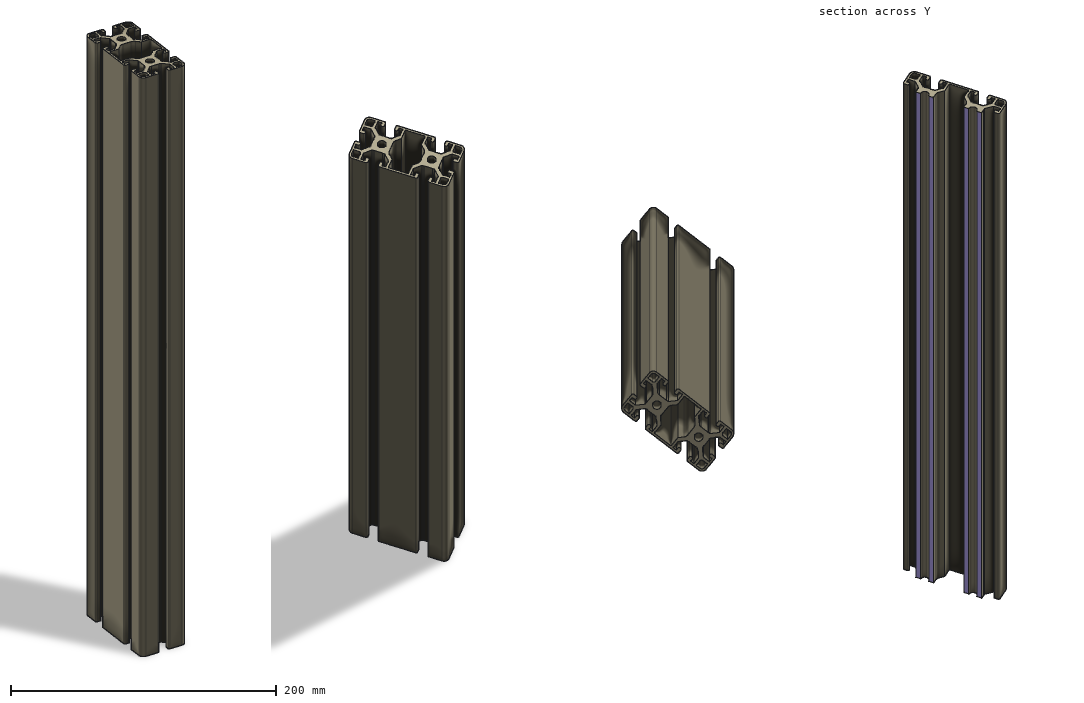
import cadquery as cq

length = 500
width = 80
depth = 40
module = depth
corner_radius = 4.0
skin = 1.75

slot_half_opening = 4.15
slot_half_width = 10.0
slot_depth = 12.5
slot_slope = 5.0
lip_depth = 4.75
lip_thickness = 2.75
lip_edge_radius = 1.25
lip_tip_radius = 1.0
groove_half_width = 3.5
groove_depth = 0.1

chamber_half_width = 8.0
chamber_bend_height = 10.0
chamber_core_radius = 4.5
chamber_corner_radius = 0.5

cavity_wall = 2.25
cavity_outer_radius = 2.5
cavity_inner_radius = 1.5

bore_diameter = 6.5
core_half_width = module / 2 - slot_depth
core_centres = (-module / 2, module / 2)

signs = (-1, 1)


def prism(points):
    """Extrude a closed outline over the full length of the part."""
    return cq.Workplane("XY").polyline(points).close().extrude(length)


def round_edges(body, points, radius):
    """Fillet the long edges that stand on the given points."""
    reach = 0.05
    for x, y in points:
        low = (x - reach, y - reach, -5)
        high = (x + reach, y + reach, length + 5)
        body = body.edges(cq.selectors.BoxSelector(low, high)).fillet(radius)
    return body


def mirrored(point):
    """The four copies of a point about both mid-planes."""
    x, y = point
    return [(side_x * x, side_y * y) for side_x in signs for side_y in signs]


def t_slot():
    """One slot, cut inward from the outer face at y = 0 and opening toward +Y."""
    lip_back = slot_half_opening + lip_thickness
    lip_tips = [(slot_half_opening, -lip_depth), (lip_back, -lip_depth)]
    right_side = [
        (slot_half_opening, 0),
        *lip_tips,
        (lip_back, -skin),
        (slot_half_width, -skin),
        (slot_half_width, slot_slope - slot_depth),
        (slot_half_width - slot_slope, -slot_depth),
        (groove_half_width, -slot_depth),
        (groove_half_width - groove_depth, -slot_depth - groove_depth),
    ]
    left_side = [(-x, y) for x, y in reversed(right_side)]
    tips_on_both_sides = [(side * x, y) for x, y in lip_tips for side in signs]
    return round_edges(prism(right_side + left_side), tips_on_both_sides, lip_tip_radius)


def central_chamber():
    """The hollow between the two cores, with diagonal sides that form the inner webs."""
    core_side = module / 2 - core_half_width
    at_core = (core_side, chamber_bend_height - (core_side - chamber_half_width))
    at_bend = (chamber_half_width, chamber_bend_height)
    at_corner = (chamber_half_width, depth / 2 - skin)

    right_upper = [at_core, at_bend, at_corner]
    upper = right_upper + [(-x, y) for x, y in reversed(right_upper)]
    lower = [(-x, -y) for x, y in upper]
    chamber = prism(upper + lower)
    chamber = round_edges(chamber, mirrored(at_core), chamber_core_radius)
    return round_edges(chamber, mirrored(at_corner), chamber_corner_radius)


def corner_cavity():
    """The square hollow in the +X +Y corner of the profile."""
    inner = slot_half_width + cavity_wall
    outer = module / 2 - skin
    cavity = prism([(inner, inner), (outer, inner), (outer, outer), (inner, outer)])
    cavity = round_edges(cavity, [(outer, outer)], cavity_outer_radius)
    cavity = round_edges(cavity, [(inner, inner)], cavity_inner_radius)
    return cavity.translate((core_centres[1], 0, 0))


body = cq.Workplane("XY").rect(width, depth).extrude(length).edges("|Z").fillet(corner_radius)

slot = t_slot()
slot_places = [(0, x, depth / 2) for x in core_centres]
slot_places += [(180, x, -depth / 2) for x in core_centres]
slot_places += [(-90, width / 2, 0), (90, -width / 2, 0)]
for angle, x, y in slot_places:
    body = body.cut(slot.rotate((0, 0, 0), (0, 0, 1), angle).translate((x, y, 0)))

opening_edges = mirrored((width / 2, slot_half_opening))
for side in signs:
    opening_edges += mirrored((module / 2 + side * slot_half_opening, depth / 2))
body = round_edges(body, opening_edges, lip_edge_radius)

body = body.cut(central_chamber())
right_cavity = corner_cavity()
for cavity in (right_cavity, right_cavity.mirror("YZ")):
    body = body.cut(cavity).cut(cavity.mirror("XZ"))

bore_places = [(x, 0) for x in core_centres]
bores = cq.Workplane("XY").pushPoints(bore_places).circle(bore_diameter / 2).extrude(length)

result = body.cut(bores)